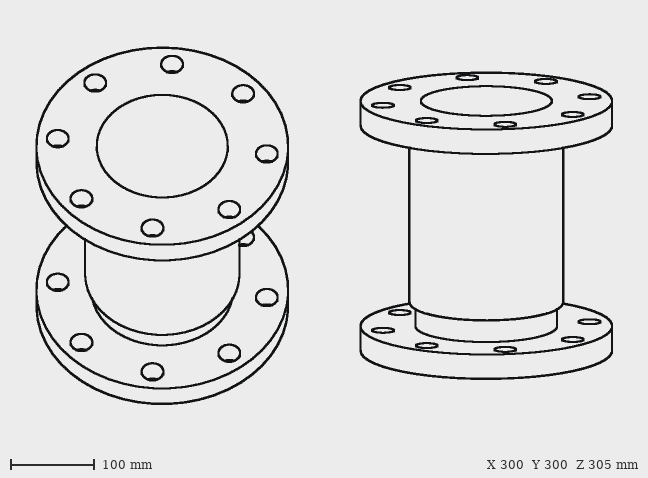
import cadquery as cq

length = 305.0
flange_diameter = 300.0
flange_thickness = 30.0

bore_diameter = 156.2
pipe_diameter = 169.0
sleeve_diameter = 184.0
sleeve_length = 190.3
shoulder_fillet = 3.0

bolt_count = 8
bolt_circle_diameter = 250.0
bolt_hole_diameter = 26.0
first_bolt_angle = 360 / bolt_count / 2


def flanged_pipe():
    """Pipe, sleeve and both flanges as one wall section revolved about Z."""
    bore_radius = bore_diameter / 2
    flange_radius = flange_diameter / 2
    pipe_radius = pipe_diameter / 2
    sleeve_radius = sleeve_diameter / 2
    top_flange_z = length - flange_thickness
    lower_shoulder_z = (length - sleeve_length) / 2
    upper_shoulder_z = lower_shoulder_z + sleeve_length
    outward_arc = (shoulder_fillet, shoulder_fillet)
    inward_arc = (-shoulder_fillet, shoulder_fillet)
    return (
        cq.Workplane("XZ")
        .moveTo(bore_radius, 0)
        .lineTo(flange_radius, 0)
        .lineTo(flange_radius, flange_thickness)
        .lineTo(pipe_radius, flange_thickness)
        .lineTo(pipe_radius, lower_shoulder_z - shoulder_fillet)
        .tangentArcPoint(outward_arc)
        .lineTo(sleeve_radius - shoulder_fillet, lower_shoulder_z)
        .tangentArcPoint(outward_arc)
        .lineTo(sleeve_radius, upper_shoulder_z - shoulder_fillet)
        .tangentArcPoint(inward_arc)
        .lineTo(pipe_radius + shoulder_fillet, upper_shoulder_z)
        .tangentArcPoint(inward_arc)
        .lineTo(pipe_radius, top_flange_z)
        .lineTo(flange_radius, top_flange_z)
        .lineTo(flange_radius, length)
        .lineTo(bore_radius, length)
        .close()
        .revolve(360, (0, 0, 0), (0, 1, 0))
    )


def bolt_holes():
    """Cutters for the bolt holes, running through both flanges outside the sleeve."""
    return (
        cq.Workplane("XY")
        .polarArray(bolt_circle_diameter / 2, first_bolt_angle, 360, bolt_count)
        .circle(bolt_hole_diameter / 2)
        .extrude(length)
    )


result = flanged_pipe().cut(bolt_holes())